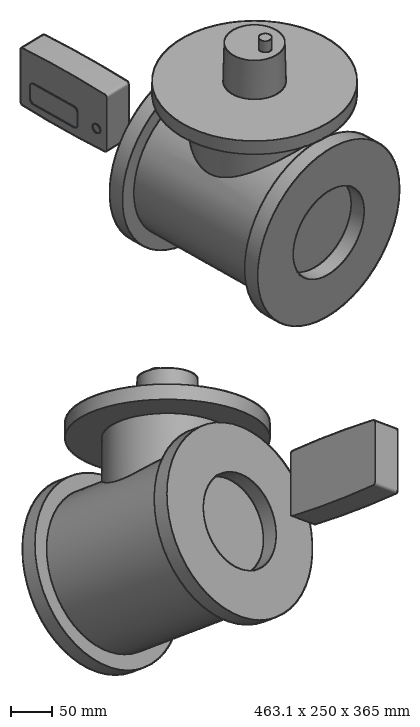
import cadquery as cq

body_length = 250.0
flange_diameter = 250.0
end_flange_thickness = 22.0
pipe_diameter = 210.0
bore_diameter = 125.0
bore_depth = end_flange_thickness

body_height = 365.0
neck_diameter = 160.0
cover_thickness = 20.0
boss_base_diameter = 77.0
boss_top_diameter = 74.0
boss_height = 57.5
stem_diameter = 16.0
stem_height = 17.0
stem_offset = 18.0

stem_top_z = body_height - flange_diameter / 2
boss_top_z = stem_top_z - stem_height
cover_top_z = boss_top_z - boss_height
cover_bottom_z = cover_top_z - cover_thickness

overall_length = 463.14
unit_length = 146.0
unit_depth = 39.0
unit_side_height = 85.6
unit_bulge = 2.0
unit_corner_radius = 4.0
unit_left_x = body_length / 2 - overall_length
unit_center_x = unit_left_x + unit_length / 2
unit_center_z = 35.3
unit_front_y = -59.5

pad_height = 1.0
display_length = 80.0
display_height = 31.0
display_corner_radius = 6.0
display_center_x = unit_left_x + 57.0
display_center_z = 19.0
button_diameter = 13.0
button_center_x = unit_left_x + 129.0
button_center_z = 20.5


def upright_cylinder(diameter, bottom_z, top_z, center_x=0.0):
    """Vertical cylinder between two heights."""
    plane = cq.Workplane("XY", origin=(center_x, 0, bottom_z))
    return plane.circle(diameter / 2).extrude(top_z - bottom_z)


def pipe_cylinder(diameter, start_x, length):
    """Cylinder along the pipe axis."""
    return cq.Workplane("YZ", origin=(start_x, 0, 0)).circle(diameter / 2).extrude(length)


def make_valve_body():
    left_x = -body_length / 2
    right_x = body_length / 2
    valve = pipe_cylinder(pipe_diameter, left_x, body_length)
    valve = valve.union(upright_cylinder(neck_diameter, 0, cover_bottom_z))
    for start_x in (left_x, right_x - end_flange_thickness):
        valve = valve.union(pipe_cylinder(flange_diameter, start_x, end_flange_thickness))
    for start_x in (left_x, right_x - bore_depth):
        valve = valve.cut(pipe_cylinder(bore_diameter, start_x, bore_depth))

    cover = upright_cylinder(flange_diameter, cover_bottom_z, cover_top_z)
    boss = (
        cq.Workplane("XY", origin=(0, 0, cover_top_z))
        .circle(boss_base_diameter / 2)
        .workplane(offset=boss_height)
        .circle(boss_top_diameter / 2)
        .loft()
    )
    stem = upright_cylinder(stem_diameter, boss_top_z, stem_top_z, stem_offset)
    return valve.union(cover).union(boss).union(stem)


def unit_front_plane(center_x, center_z):
    """Sketch plane on the front of the control unit, facing -Y."""
    return cq.Workplane("XZ", origin=(center_x, unit_front_y, center_z))


def make_control_unit():
    half_length = unit_length / 2
    half_side = unit_side_height / 2
    crown = half_side + unit_bulge
    unit = (
        unit_front_plane(unit_center_x, unit_center_z)
        .moveTo(-half_length, -half_side)
        .threePointArc((0, -crown), (half_length, -half_side))
        .lineTo(half_length, half_side)
        .threePointArc((0, crown), (-half_length, half_side))
        .close()
        .extrude(-unit_depth)
        .edges("|Y")
        .fillet(unit_corner_radius)
    )
    display = (
        unit_front_plane(display_center_x, display_center_z)
        .rect(display_length, display_height)
        .extrude(pad_height)
        .edges("|Y")
        .fillet(display_corner_radius)
    )
    button = (
        unit_front_plane(button_center_x, button_center_z)
        .circle(button_diameter / 2)
        .extrude(pad_height)
    )
    return unit.union(display).union(button)


valve_body = make_valve_body()
control_unit = make_control_unit()

result = cq.Compound.makeCompound([valve_body.val(), control_unit.val()])